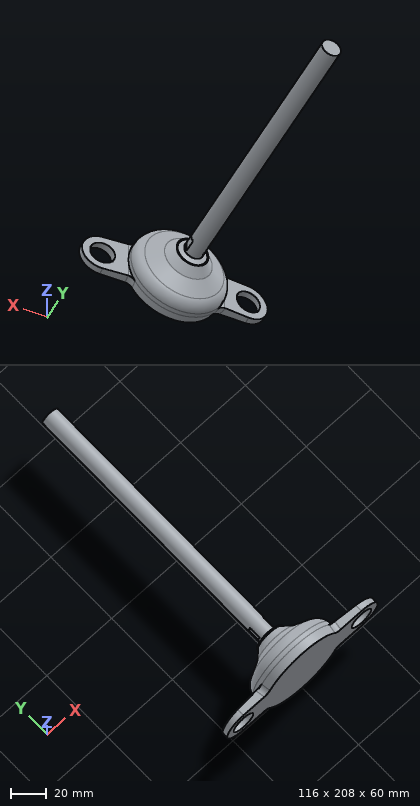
import cadquery as cq
import math


total_length = 208.0

base_radius = 30.0
ground_radius = 29.2
rim_height = 6.0
wall_height = 9.0
shoulder_round = 9.0
shoulder_top_radius = 24.7
shoulder_top_height = 16.0
neck_radius = 14.9
neck_height = 21.3
seat_radius = 9.2
seat_height = 26.8

ear_spacing = 91.0
ear_radius = 12.5
ear_hole_diameter = 15.0
ear_tip_height = 4.0
ear_root_fillet = 5.0

stem_diameter = 12.0
collar_radius = 9.9
collar_edge = 0.4
collar_top = 28.4
flat_start = 30.0
flat_length = 8.0
across_flats = 10.0


def revolve_about_y(profile):
    """Turn a closed (radius, height) profile fully around the Y axis."""
    return profile.close().revolve(360, (0, 0, 0), (0, 1, 0))


def make_ears():
    """Rim disc with both ears, filleted at their roots, the ear tops sloping down outward."""
    tip = ear_spacing / 2 + ear_radius
    rim = revolve_about_y(
        cq.Workplane("XY")
        .lineTo(ground_radius, 0)
        .lineTo(base_radius, rim_height)
        .lineTo(0, rim_height)
    )
    bar = cq.Workplane("XZ").slot2D(2 * tip, 2 * ear_radius).extrude(-rim_height)
    plate = rim.union(bar)

    root_x = math.sqrt(ground_radius**2 - ear_radius**2)
    for side_x in (-1, 1):
        for side_z in (-1, 1):
            corner = (side_x * root_x, rim_height / 2, side_z * ear_radius)
            plate = plate.edges(cq.selectors.NearestToPointSelector(corner)).fillet(ear_root_fillet)

    slope_cut = (
        cq.Workplane("XY")
        .moveTo(base_radius, rim_height)
        .lineTo(tip, ear_tip_height)
        .lineTo(tip, rim_height)
        .close()
        .extrude(ear_radius + ear_root_fillet, both=True)
    )
    return plate.cut(slope_cut).cut(slope_cut.mirror("YZ"))


def make_bell():
    """Wall, rounded shoulder and two-step cone above the rim."""
    return revolve_about_y(
        cq.Workplane("XY")
        .moveTo(0, rim_height)
        .lineTo(base_radius, rim_height)
        .lineTo(base_radius, wall_height)
        .radiusArc((shoulder_top_radius, shoulder_top_height), -shoulder_round)
        .lineTo(neck_radius, neck_height)
        .lineTo(seat_radius, seat_height)
        .lineTo(0, seat_height)
    )


def make_base():
    """Rim with ears and bell as one solid, with a mounting hole through each ear."""
    ear_holes = (
        cq.Workplane("XZ")
        .pushPoints([(-ear_spacing / 2, 0), (ear_spacing / 2, 0)])
        .circle(ear_hole_diameter / 2)
        .extrude(-rim_height)
    )
    return make_ears().union(make_bell()).cut(ear_holes)


def make_stem():
    """Round stem with a flared collar at its foot and two wrench flats facing -X and +X."""
    stem_radius = stem_diameter / 2
    stem = revolve_about_y(
        cq.Workplane("XY")
        .moveTo(0, seat_height)
        .lineTo(collar_radius, seat_height)
        .lineTo(collar_radius, seat_height + collar_edge)
        .lineTo(stem_radius, collar_top)
        .lineTo(stem_radius, total_length)
        .lineTo(0, total_length)
    )
    flat_depth = (stem_diameter - across_flats) / 2
    for side in (-1, 1):
        flat_cut = cq.Workplane("XY").box(flat_depth, flat_length, stem_diameter).translate(
            (side * (across_flats + flat_depth) / 2, flat_start + flat_length / 2, 0)
        )
        stem = stem.cut(flat_cut)
    return stem


base = make_base()
stem = make_stem()

result = cq.Compound.makeCompound([base.val(), stem.val()])